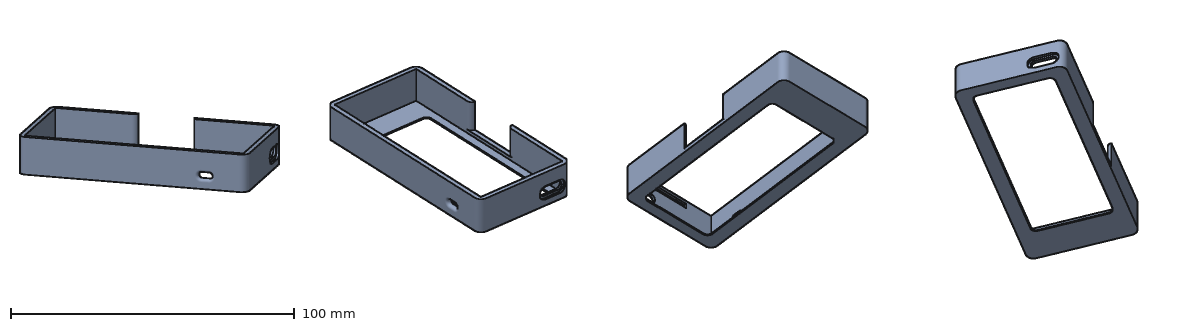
import cadquery as cq

length = 84.5
width = 41.5
height = 13.8
corner_radius = 2.95
end_wall = 1.95
side_wall = 2.0
floor_thickness = 0.6

window_left_margin = 12.25
window_right_margin = 4.2
window_side_margin = 5.5
window_corner_radius = 2.1

notch_width = 20.45
notch_floor = 2.0

port_x = 26.6
port_z = 4.8
port_length = 5.15
port_height = 2.4
port_mouth_radius = 1.1

slot_y = 12.6
slot_z = 5.3
slot_length = 9.7
slot_height = 3.55
slot_lip = 1.0
slot_recess_margin = 1.0

groove_length = 13.95
groove_height = 2.0
groove_depth = 1.0
groove_z = 11.4

inner_length = length - 2 * end_wall
inner_width = width - 2 * side_wall


def make_tray():
    """Rounded outer block with a square-cornered cavity above a thin floor."""
    block = cq.Workplane("XY").box(length, width, height, centered=(True, True, False))
    block = block.edges("|Z").fillet(corner_radius)
    cavity = (
        cq.Workplane("XY")
        .workplane(offset=floor_thickness)
        .rect(inner_length, inner_width)
        .extrude(height)
    )
    return block.cut(cavity)


def make_window():
    """Rounded rectangular opening through the floor."""
    window_length = length - window_left_margin - window_right_margin
    window_width = width - 2 * window_side_margin
    return (
        cq.Workplane("XY")
        .center((window_left_margin - window_right_margin) / 2, 0)
        .rect(window_length, window_width)
        .extrude(floor_thickness)
        .edges("|Z")
        .fillet(window_corner_radius)
    )


def make_notch():
    """Back wall gap that leaves a quarter round on each wall end, facing inwards."""
    outer_y = width / 2
    inner_y = outer_y - side_wall
    half_outer = notch_width / 2
    half_inner = half_outer + side_wall
    arc_offset = side_wall * 0.5**0.5
    arc_x = half_inner - arc_offset
    arc_y = outer_y - arc_offset
    return (
        cq.Workplane("XY")
        .workplane(offset=notch_floor)
        .moveTo(-half_outer, outer_y)
        .lineTo(half_outer, outer_y)
        .threePointArc((arc_x, arc_y), (half_inner, inner_y))
        .lineTo(-half_inner, inner_y)
        .threePointArc((-arc_x, arc_y), (-half_outer, outer_y))
        .close()
        .extrude(height - notch_floor)
    )


def cut_port(body):
    """Cut the front port and round the rim of its mouth."""
    front_y = -width / 2
    port = (
        cq.Workplane("XZ", origin=(port_x, front_y, port_z))
        .slot2D(port_length, port_height)
        .extrude(-side_wall)
    )
    rim = cq.selectors.BoxSelector(
        (port_x - port_length, front_y - side_wall / 4, port_z - port_height),
        (port_x + port_length, front_y + side_wall / 4, port_z + port_height),
    )
    return body.cut(port).edges(rim).fillet(port_mouth_radius)


def make_end_slot():
    """Round-ended slot through the right end wall, with a wider recess on its outer side."""
    slot = (
        cq.Workplane("YZ", origin=(inner_length / 2, slot_y, slot_z))
        .slot2D(slot_length, slot_height)
        .extrude(end_wall)
    )
    recess_length = slot_length + 2 * slot_recess_margin
    recess_height = slot_height + 2 * slot_recess_margin
    recess = (
        cq.Workplane("YZ", origin=(inner_length / 2 + slot_lip, slot_y, slot_z))
        .slot2D(recess_length, recess_height)
        .extrude(end_wall - slot_lip)
    )
    return slot.union(recess)


def make_groove():
    """Blind groove in the inner face of the right end wall."""
    return (
        cq.Workplane("YZ", origin=(inner_length / 2, 0, groove_z))
        .rect(groove_length, groove_height)
        .extrude(groove_depth)
    )


tray = make_tray().cut(make_window()).cut(make_notch())
result = cut_port(tray).cut(make_end_slot()).cut(make_groove())